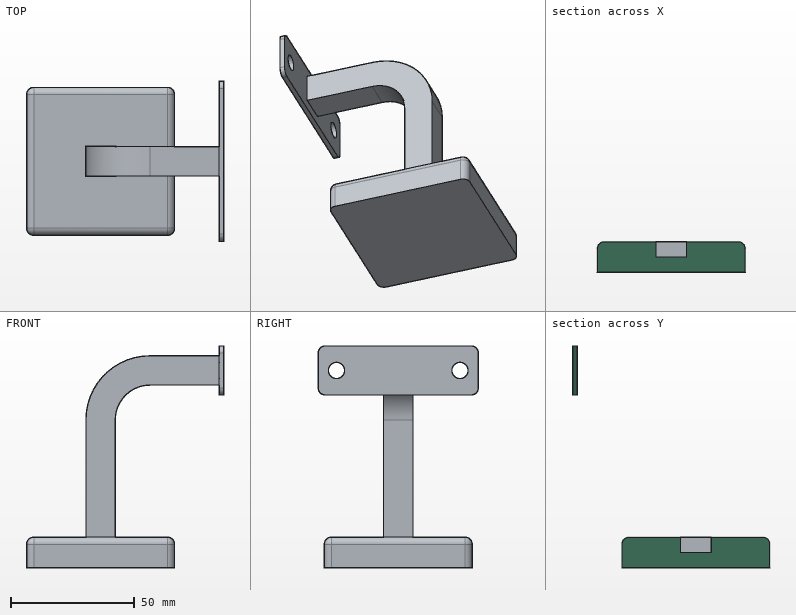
import cadquery as cq

overall_length = 80.0
overall_height = 90.0

base_width = 60.0
base_height = 12.5
base_edge_radius = 3.0

bar_width = 12.0
bend_inner_radius = 14.0
bend_outer_radius = bend_inner_radius + bar_width

socket_depth = base_height / 2
socket_clearance = 0.2
socket_width = bar_width + 2 * socket_clearance
socket_floor = base_height - socket_depth

plate_width = 65.0
plate_height = 20.0
plate_thickness = 2.0
plate_corner_radius = 3.0
screw_hole_diameter = 6.5
screw_hole_spacing = 50.0

plate_outer_x = overall_length - base_width / 2
plate_inner_x = plate_outer_x - plate_thickness
plate_center_z = overall_height - plate_height / 2
bar_left_x = -bar_width / 2
bar_right_x = bar_width / 2
bar_top_z = plate_center_z + bar_width / 2
bar_bottom_z = plate_center_z - bar_width / 2
bend_center_x = bar_right_x + bend_inner_radius
bend_center_z = bar_bottom_z - bend_inner_radius


def make_base():
    """Square block with rounded upright and top edges and a blind square socket."""
    block = (
        cq.Workplane("XY")
        .rect(base_width, base_width)
        .extrude(base_height)
        .edges("|Z or >Z")
        .fillet(base_edge_radius)
    )
    socket = (
        cq.Workplane("XY")
        .workplane(offset=socket_floor)
        .rect(socket_width, socket_width)
        .extrude(socket_depth)
    )
    return block.cut(socket)


def make_bar():
    """Square bar that rises from the socket floor and bends a quarter turn toward +X."""
    return (
        cq.Workplane("XZ")
        .moveTo(bar_left_x, socket_floor)
        .lineTo(bar_left_x, bend_center_z)
        .radiusArc((bend_center_x, bar_top_z), bend_outer_radius)
        .lineTo(plate_inner_x, bar_top_z)
        .lineTo(plate_inner_x, bar_bottom_z)
        .lineTo(bend_center_x, bar_bottom_z)
        .radiusArc((bar_right_x, bend_center_z), -bend_inner_radius)
        .lineTo(bar_right_x, socket_floor)
        .close()
        .extrude(bar_width / 2, both=True)
    )


def make_plate():
    """Upright rounded plate with a screw hole on each side of the bar."""
    half_spacing = screw_hole_spacing / 2
    return (
        cq.Workplane("YZ", origin=(plate_inner_x, 0, plate_center_z))
        .rect(plate_width, plate_height)
        .extrude(plate_thickness)
        .edges("|X")
        .fillet(plate_corner_radius)
        .faces(">X")
        .workplane(origin=(plate_outer_x, 0, plate_center_z))
        .pushPoints([(-half_spacing, 0), (half_spacing, 0)])
        .hole(screw_hole_diameter)
    )


def make_arm():
    """One-piece arm: the bent bar joined to its mounting plate."""
    return make_bar().union(make_plate())


base = make_base()
arm = make_arm()

result = cq.Compound.makeCompound([base.solids().val(), arm.solids().val()])